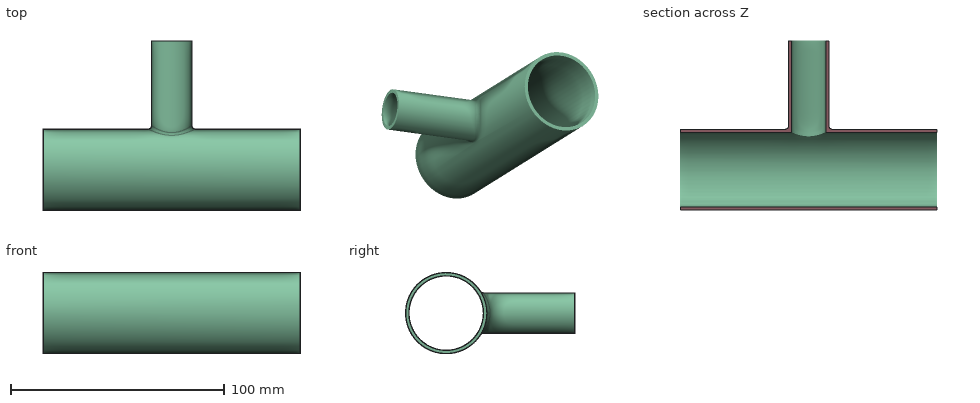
import cadquery as cq

RUN_OUTER_DIAMETER = 38.1
RUN_INNER_DIAMETER = 34.8
RUN_LENGTH = 120.65
BRANCH_OUTER_DIAMETER = 19.05
BRANCH_INNER_DIAMETER = 15.75
BRANCH_REACH = RUN_LENGTH / 2
WELD_FILLET_RADIUS = 1.5


def run_cylinder(diameter):
    """Cylinder along X, centred on the origin."""
    return cq.Workplane("YZ").circle(diameter / 2).extrude(RUN_LENGTH / 2, both=True)


def branch_cylinder(diameter):
    """Cylinder along +Y, from the run axis to the open end of the branch."""
    return cq.Workplane("XZ").circle(diameter / 2).extrude(-BRANCH_REACH)


def filleted_outer_body():
    """Solid tee with a fillet around the seam between branch and run."""
    body = run_cylinder(RUN_OUTER_DIAMETER).union(branch_cylinder(BRANCH_OUTER_DIAMETER))
    box_reach = BRANCH_OUTER_DIAMETER
    seam_region = cq.selectors.BoxSelector(
        (-box_reach, 0, -box_reach),
        (box_reach, RUN_OUTER_DIAMETER, box_reach),
        boundingbox=True,
    )
    return body.edges(seam_region).fillet(WELD_FILLET_RADIUS)


def bores():
    """Run bore joined with the branch bore."""
    return run_cylinder(RUN_INNER_DIAMETER).union(branch_cylinder(BRANCH_INNER_DIAMETER))


result = filleted_outer_body().cut(bores())